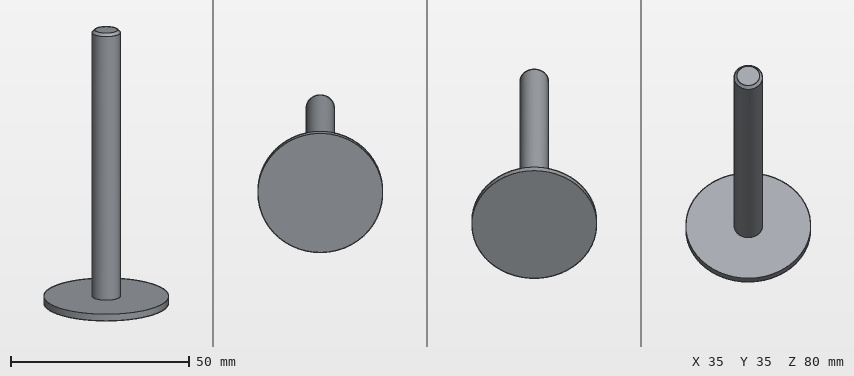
import cadquery as cq

total_height = 80.0
base_diameter = 35.0
base_thickness = 2.0
pin_diameter = 8.0
tip_chamfer = 0.8


def make_base():
    """Flat round base plate, with its underside at Z = 0."""
    return cq.Workplane("XY").circle(base_diameter / 2).extrude(base_thickness)


def make_pin():
    """Upright pin standing on the base plate, with a chamfered tip."""
    return (
        cq.Workplane("XY", origin=(0, 0, base_thickness))
        .circle(pin_diameter / 2)
        .extrude(total_height - base_thickness)
        .faces(">Z")
        .chamfer(tip_chamfer)
    )


base = make_base()
pin = make_pin()

result = cq.Compound.makeCompound([base.val(), pin.val()])